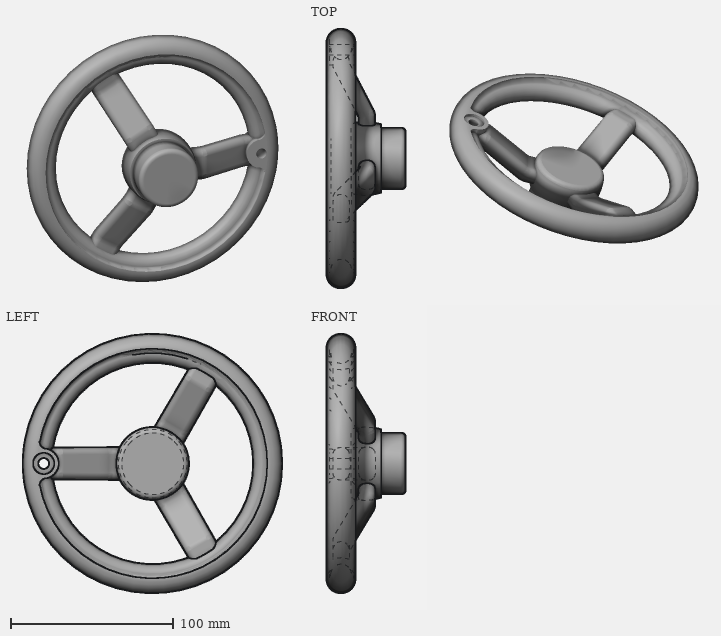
import cadquery as cq
import math

rim_radius = 80.0
rim_section = 18.0
tube_radius = rim_section / 2
ring_radius = rim_radius - tube_radius
lip_radius = 70.7
hollow_radius = 2.7

hub_front = 15.0
barrel_end = 33.7
hub_back = 49.0
barrel_front_radius = 21.5
barrel_middle_radius = 22.5
barrel_back_radius = 21.1
barrel_front_fillet = 2.9
neck_diameter = 38.0
neck_fillet = 2.9

spoke_count = 3
spoke_thickness = 10.2
spoke_hub_width = 20.6
spoke_rim_width = 19.7
spoke_edge_fillet = 4.3
spoke_bend_fillet = 6.4
spoke_hub_x = 25.0
spoke_rim_x = tube_radius
inner_bend_radius = 26.9
outer_bend_radius = 57.6
spoke_start_radius = 6.4
end_margin = 1.6
spoke_end_radius = ring_radius

boss_radius_on_wheel = 67.0
boss_diameter = 18.5
boss_flare_angle = 11.0
boss_flare_radius = 4.8
boss_blend_angle = 75.0
handle_hole_diameter = 6.5
counterbore_diameter = 13.1
counterbore_depth = 1.9


def make_rim():
    """Round section whose inner side steps back, front and rear, through hollows to a smaller arc."""
    lip_angle = math.acos((lip_radius - ring_radius) / tube_radius)
    lip_x = tube_radius - tube_radius * math.sin(lip_angle)
    step_x = lip_x + hollow_radius
    step_radius = lip_radius - hollow_radius
    section = (
        cq.Workplane("XY")
        .moveTo(lip_x, lip_radius)
        .threePointArc((tube_radius, rim_radius), (rim_section - lip_x, lip_radius))
        .radiusArc((rim_section - step_x, step_radius), -hollow_radius)
        .threePointArc((tube_radius, rim_radius - rim_section), (step_x, step_radius))
        .radiusArc((lip_x, lip_radius), -hollow_radius)
        .close()
    )
    return section.revolve(360, (0, 0, 0), (1, 0, 0))


def make_hub():
    barrel_middle = (hub_front + barrel_end) / 2
    barrel = (
        cq.Workplane("XY")
        .moveTo(hub_front, 0)
        .lineTo(hub_front, barrel_front_radius)
        .threePointArc((barrel_middle, barrel_middle_radius), (barrel_end, barrel_back_radius))
        .lineTo(barrel_end, 0)
        .close()
        .revolve(360, (0, 0, 0), (1, 0, 0))
        .faces("<X")
        .edges()
        .fillet(barrel_front_fillet)
    )
    neck = (
        cq.Workplane("YZ", origin=(barrel_end, 0, 0))
        .circle(neck_diameter / 2)
        .extrude(hub_back - barrel_end)
        .faces(">X")
        .edges()
        .fillet(neck_fillet)
    )
    return barrel.union(neck)


def make_spoke():
    """One spoke along +Y: its bent side outline, trimmed to a tapered width, edges rounded."""
    half = spoke_thickness / 2
    slope = math.atan2(spoke_hub_x - spoke_rim_x, outer_bend_radius - inner_bend_radius)
    mitre = half * math.tan(slope / 2)
    outline = [
        (spoke_hub_x - half, spoke_start_radius),
        (spoke_hub_x - half, inner_bend_radius - mitre),
        (spoke_rim_x - half, outer_bend_radius - mitre),
        (spoke_rim_x - half, spoke_end_radius),
        (spoke_rim_x + half, spoke_end_radius),
        (spoke_rim_x + half, outer_bend_radius + mitre),
        (spoke_hub_x + half, inner_bend_radius + mitre),
        (spoke_hub_x + half, spoke_start_radius),
    ]
    bar = cq.Workplane("XY").polyline(outline).close().extrude(spoke_hub_width / 2, both=True)
    plan = [
        (spoke_start_radius, -spoke_hub_width / 2),
        (spoke_end_radius, -spoke_rim_width / 2),
        (spoke_end_radius, spoke_rim_width / 2),
        (spoke_start_radius, spoke_hub_width / 2),
    ]
    taper = cq.Workplane("YZ").polyline(plan).close().extrude(hub_back)
    bends = cq.selectors.BoxSelector(
        (0, spoke_start_radius + end_margin, -end_margin),
        (hub_back, spoke_end_radius - end_margin, end_margin),
    )
    spoke = bar.intersect(taper).edges(bends).fillet(spoke_bend_fillet)
    long_edges = cq.selectors.BoxSelector(
        (0, spoke_start_radius + end_margin, -rim_radius),
        (hub_back, spoke_end_radius - end_margin, rim_radius),
    )
    return spoke.edges(long_edges).edges("not |Z").fillet(spoke_edge_fillet)


def make_boss():
    """Round boss flaring into the rim, as thick as the rim, with flat ends."""
    radius = boss_diameter / 2
    flare_angle = math.radians(boss_flare_angle)
    corner_y = ring_radius * math.cos(flare_angle)
    corner_z = ring_radius * math.sin(flare_angle)
    blend_angle = math.radians(boss_blend_angle)
    blend_y = boss_radius_on_wheel - radius * math.cos(blend_angle)
    blend_z = radius * math.sin(blend_angle)
    return (
        cq.Workplane("YZ")
        .moveTo(corner_y, -corner_z)
        .threePointArc((ring_radius, 0), (corner_y, corner_z))
        .radiusArc((blend_y, blend_z), boss_flare_radius)
        .threePointArc((boss_radius_on_wheel - radius, 0), (blend_y, -blend_z))
        .radiusArc((corner_y, -corner_z), boss_flare_radius)
        .close()
        .extrude(rim_section)
    )


def handle_bore(diameter, depth):
    """A cylinder from X = 0 on the handle axis."""
    return cq.Workplane("YZ").center(boss_radius_on_wheel, 0).circle(diameter / 2).extrude(depth)


result = make_rim().union(make_hub())
for index in range(spoke_count):
    result = result.union(make_spoke().rotate((0, 0, 0), (1, 0, 0), index * 360 / spoke_count))

result = result.union(make_boss())
result = result.cut(handle_bore(handle_hole_diameter, rim_section))
result = result.cut(handle_bore(counterbore_diameter, counterbore_depth))